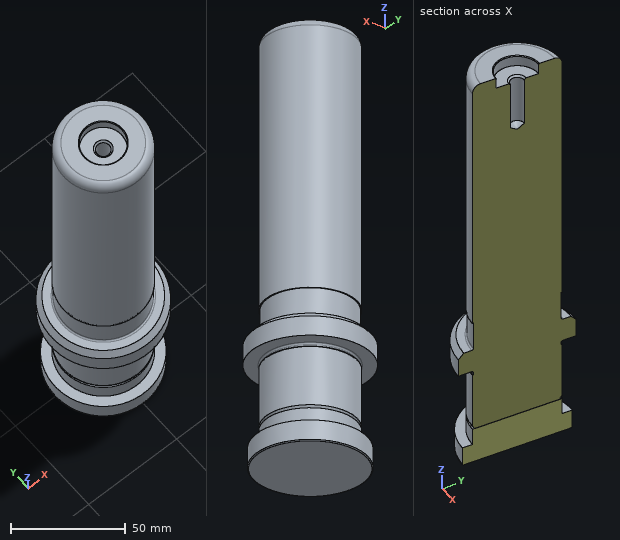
import cadquery as cq
total_height = 210.0
shaft_diameter = 45.0
shaft_radius = shaft_diameter / 2

flange_radius = 55.0 / 2
flange_thickness = 10.0
flange_chamfer = 0.5
stub_height = 8.5
foot_height = flange_thickness + stub_height

seat_chamfer_height = 1.5
seat_chamfer_width = 1.0
collar_bottom = 50.5
collar_thickness = 12.15
collar_top = collar_bottom + collar_thickness
shaft_shoulder = 77.5

collar_radius = 59.0 / 2
collar_chamfer = 2.7
corner_fillet = 0.8
neck_radius = 44.0 / 2
relief_radius = 44.0 / 2
relief_height = 1.8
top_rounding = 4.0

recess_radius = 21.0 / 2
recess_depth = 5.5
recess_chamfer = 0.4
bore_radius = 6.8 / 2
bore_chamfer = 0.9
bore_depth = 25.0
bore_tip_height = 2.0


def make_foot():
    flange = cq.Workplane("XY").circle(flange_radius).extrude(flange_thickness)
    flange = flange.faces("<Z").edges().chamfer(flange_chamfer)
    stub = cq.Workplane("XY").workplane(offset=flange_thickness).circle(shaft_radius).extrude(stub_height)
    return flange.union(stub)


def make_pillar():
    recess_floor = total_height - recess_depth
    bore_bottom = recess_floor - bore_depth
    rounding_start = total_height - top_rounding
    arc_offset = top_rounding * 0.5 ** 0.5
    profile = (
        cq.Workplane("XZ")
        .moveTo(0, foot_height)
        .lineTo(shaft_radius - seat_chamfer_width, foot_height)
        .lineTo(shaft_radius, foot_height + seat_chamfer_height)
        .lineTo(shaft_radius, collar_bottom - relief_height)
        .lineTo(relief_radius, collar_bottom - relief_height)
        .lineTo(relief_radius, collar_bottom - corner_fillet)
        .radiusArc((relief_radius + corner_fillet, collar_bottom), corner_fillet)
        .lineTo(collar_radius, collar_bottom)
        .lineTo(collar_radius, collar_top - collar_chamfer)
        .lineTo(collar_radius - collar_chamfer, collar_top)
        .lineTo(neck_radius + corner_fillet, collar_top)
        .radiusArc((neck_radius, collar_top + corner_fillet), corner_fillet)
        .lineTo(neck_radius, shaft_shoulder)
        .lineTo(shaft_radius, shaft_shoulder)
        .lineTo(shaft_radius, rounding_start)
        .threePointArc(
            (shaft_radius - top_rounding + arc_offset, rounding_start + arc_offset),
            (shaft_radius - top_rounding, total_height),
        )
        .lineTo(recess_radius + recess_chamfer, total_height)
        .lineTo(recess_radius, total_height - recess_chamfer)
        .lineTo(recess_radius, recess_floor)
        .lineTo(bore_radius + bore_chamfer, recess_floor)
        .lineTo(bore_radius, recess_floor - bore_chamfer)
        .lineTo(bore_radius, bore_bottom)
        .lineTo(0, bore_bottom - bore_tip_height)
        .close()
    )
    return profile.revolve(360, (0, 0, 0), (0, 1, 0))


foot = make_foot()
pillar = make_pillar()

result = cq.Compound.makeCompound([foot.val(), pillar.val()])